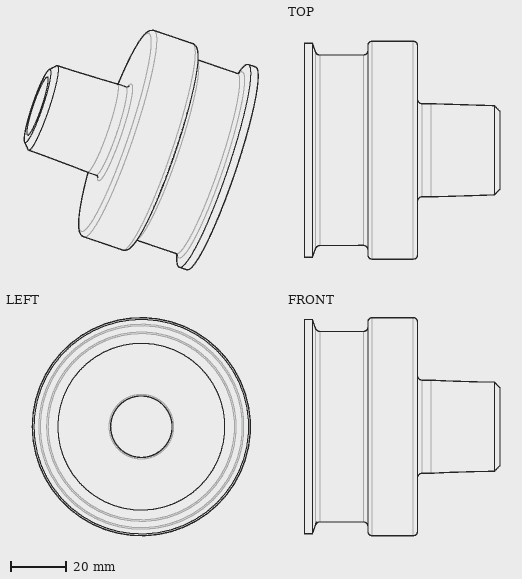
import cadquery as cq
import math


total_length = 70.64
rim_width = 2.9
collar_start = 22.9
collar_end = 40.86
pipe_straight_end = 45.75

rim_radius = 77.39 / 2
neck_radius = 68.78 / 2
collar_radius = 78.74 / 2
pipe_radius = 33.7 / 2
bore_radius = 22.1 / 2
mouth_radius = 30.1

rim_back_angle = 20.0
rim_root_fillet = 1.59
collar_fillet = 1.59
pipe_root_fillet = 1.59
pipe_diameter_taper = 1 / 16
pipe_end_chamfer = 2.1
funnel_depth = 35.0
throat_fillet = 5.0

groove_mid_radius = 35.3
groove_radius = 1.2
groove_depth = 1.2
groove_lip_radius = 0.6

selection_margin = 0.01


def revolve_about_x(profile):
    """Revolve a profile drawn as (axial, radial) points about the X axis."""
    return profile.close().revolve(360, (0, 0, 0), (1, 0, 0))


def edges_at(body, axial, radius):
    """Select the circular edge at the given axial position and radius."""

    def box(reach):
        return cq.selectors.BoxSelector(
            (axial - selection_margin, -reach, -reach),
            (axial + selection_margin, reach, reach),
            boundingbox=True,
        )

    return body.edges(box(radius + selection_margin) - box(radius - selection_margin))


def make_outer_body():
    rim_back_run = (rim_radius - neck_radius) * math.tan(math.radians(rim_back_angle))
    rim_back_end = rim_width + rim_back_run
    taper_length = total_length - pipe_straight_end
    pipe_end_radius = pipe_radius - taper_length * pipe_diameter_taper / 2
    body = revolve_about_x(
        cq.Workplane("XY")
        .moveTo(0, 0)
        .lineTo(0, rim_radius)
        .lineTo(rim_width, rim_radius)
        .lineTo(rim_back_end, neck_radius)
        .lineTo(collar_start, neck_radius)
        .lineTo(collar_start, collar_radius)
        .lineTo(collar_end, collar_radius)
        .lineTo(collar_end, pipe_radius)
        .lineTo(pipe_straight_end, pipe_radius)
        .lineTo(total_length, pipe_end_radius)
        .lineTo(total_length, 0)
    )
    body = edges_at(body, rim_back_end, neck_radius).fillet(rim_root_fillet)
    for axial, radius in (
        (collar_start, neck_radius),
        (collar_start, collar_radius),
        (collar_end, collar_radius),
    ):
        body = edges_at(body, axial, radius).fillet(collar_fillet)
    body = edges_at(body, collar_end, pipe_radius).fillet(pipe_root_fillet)
    return edges_at(body, total_length, pipe_end_radius).chamfer(pipe_end_chamfer)


def make_passage():
    """Conical funnel running into a straight bore, with a rounded throat."""
    passage = revolve_about_x(
        cq.Workplane("XY")
        .moveTo(0, 0)
        .lineTo(0, mouth_radius)
        .lineTo(funnel_depth, bore_radius)
        .lineTo(total_length, bore_radius)
        .lineTo(total_length, 0)
    )
    return edges_at(passage, funnel_depth, bore_radius).fillet(throat_fillet)


def cut_gasket_groove(body):
    """Round-bottomed ring groove whose lips curve smoothly into the ferrule face."""
    bottom_centre = groove_depth - groove_radius
    centre_distance = groove_radius + groove_lip_radius
    lip_rise = groove_lip_radius - bottom_centre
    half_width = math.sqrt(centre_distance**2 - lip_rise**2)
    joint_depth = bottom_centre + lip_rise * groove_radius / centre_distance
    joint_offset = half_width * groove_radius / centre_distance
    groove = revolve_about_x(
        cq.Workplane("XY")
        .moveTo(0, groove_mid_radius - half_width)
        .radiusArc((joint_depth, groove_mid_radius - joint_offset), groove_lip_radius)
        .threePointArc((groove_depth, groove_mid_radius), (joint_depth, groove_mid_radius + joint_offset))
        .radiusArc((0, groove_mid_radius + half_width), groove_lip_radius)
    )
    return body.cut(groove)


result = cut_gasket_groove(make_outer_body().cut(make_passage()))